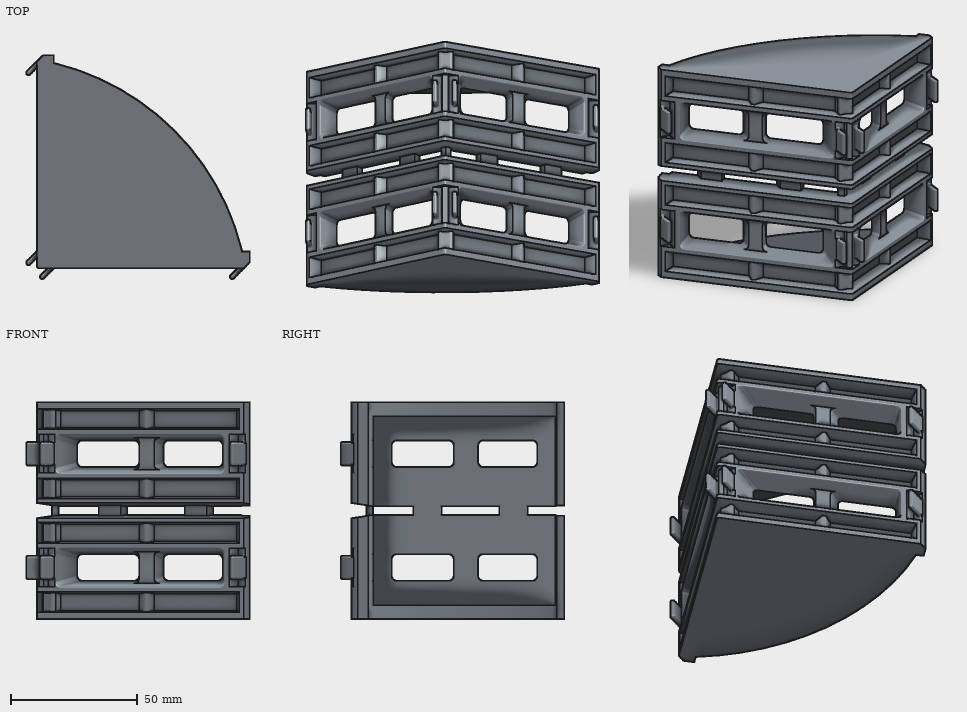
import cadquery as cq
import math


side = 84.5
height = 86.0
corner_round = 1.0
ear_width = 6.75
ear_chamfer = 2.5
arc_end = 81.4
arc_middle = 54.6
plate_thickness = 5.5
beyond = 2 * side

deck_center = 22.55

pocket_offset = 13.8
pocket_half = 4.1
pocket_end = 80.35
pocket_depth = 5.4
pocket_draft = 0.7
pocket_end_draft = 1.1
rib_base_start = 40.6
rib_base_end = 46.6
rib_nose_start = 42.8
rib_nose_end = 44.2
rib_nose_y = 2.1
rib_round = 0.35

window_start = 7.5
window_end = 74.1
window_end_back = 73.7
wall_back = 8.6
post_front = 4.8
post_start = 40.6
post_end = 46.5
post_margin = 8.9
mouth_half = 7.6
opening_half = 5.2
window_round = 1.95
mouth_round = 0.5

recess_half = 7.6
corner_recess_back = 7.2
bar_half_spread = 1.8
bar_front = 3.7
end_recess_start = 76.35
end_recess_back = 83.45

tab_reach = 4.3
tab_half_height = 4.7
tab_half_spread = 1.3
tab_round = 0.9
tab_root = 0.4
tab_blend = 0.7
tab_wall_margin = 2.7
corner_tab_line = 5.5
end_tab_line = 80.8

column_nose = (5.2, 3.0)
column_bulge = (6.3, 2.5)
column_shoulder = (7.5, 3.3)
column_foot = 8.0

gap_edge_half = 3.0
gap_half = 1.7
gap_post_front = 5.95
gap_post_starts = (24.5, 58.6)
gap_post_width = 8.8


def mirrored(shape):
    """Reflection in the diagonal plane X = Y."""
    return shape.mirror(cq.Vector(1, -1, 0), (0, 0, 0))


def both_sides(shape):
    return shape.union(mirrored(shape))


def prism(points, half_height):
    return cq.Workplane("XY").polyline(points).close().extrude(half_height, both=True)


def diagonal_point(total, difference):
    """Point with X + Y = total and X - Y = difference."""
    return ((total + difference) / 2, (total - difference) / 2)


def diagonal_box(total_low, total_high, difference_low, difference_high, half_height):
    """Block whose sides run along and across the diagonal."""
    corners = [
        diagonal_point(total_low, difference_low),
        diagonal_point(total_low, difference_high),
        diagonal_point(total_high, difference_high),
        diagonal_point(total_high, difference_low),
    ]
    return prism(corners, half_height)


def side_loft(near, far, corner_radius=0):
    """Loft along Y between two upright rectangles given as (y, x start, x end, half height)."""
    sections = []
    for y, start, end, half in (near, far):
        section = cq.Sketch().rect(end - start, 2 * half)
        if corner_radius:
            section = section.vertices().fillet(corner_radius)
        sections.append(section.moved(cq.Location(cq.Vector((start + end) / 2, 0, -y))))
    return cq.Workplane("XZ").placeSketch(*sections).loft()


def window_half(y):
    """Half height of the window at depth y."""
    return mouth_half + (opening_half - mouth_half) * y / wall_back


def blank():
    chamfer_start = side - ear_chamfer
    return (
        cq.Workplane("XY")
        .workplane(offset=-height / 2)
        .lineTo(chamfer_start, 0)
        .lineTo(side, ear_chamfer)
        .lineTo(side, ear_width)
        .lineTo(arc_end, ear_width)
        .threePointArc((arc_middle, arc_middle), (ear_width, arc_end))
        .lineTo(ear_width, side)
        .lineTo(ear_chamfer, side)
        .lineTo(0, chamfer_start)
        .close()
        .extrude(height)
        .edges("|Z and (<X and <Y)")
        .fillet(corner_round)
    )


def window():
    """Window through the wall, with its middle post left standing behind the mouth."""
    opening = side_loft(
        (0, window_start, window_end, mouth_half),
        (wall_back, window_start + wall_back, window_end_back, opening_half),
        window_round,
    )
    return opening.cut(window_post())


def window_post():
    """Post with one square side, one 45 degree side and flared, rounded ends."""
    def pane(start, end):
        return side_loft(
            (post_front, start, end, window_half(post_front)),
            (wall_back, start + wall_back - post_front, end, opening_half),
            window_round,
        )

    low = post_start - post_margin
    high = post_end + post_margin
    post_block = prism(
        [(low, post_front), (high, post_front), (high, wall_back), (low, wall_back)],
        mouth_half,
    )
    near_pane = pane(window_start + post_front, post_start)
    far_pane = pane(post_end, window_end_back)
    return post_block.cut(near_pane).cut(far_pane)


def interior():
    """Open room between the walls, floor and roof, reaching out through the curved side."""
    points = [(wall_back, wall_back), (beyond, wall_back), (beyond, beyond), (wall_back, beyond)]
    return prism(points, height / 2 - plate_thickness)


def corner_recess():
    reach = 2 * corner_recess_back
    notch = diagonal_box(-corner_recess_back, corner_recess_back, -reach, reach, recess_half)
    bar = diagonal_box(bar_front, corner_recess_back, -bar_half_spread, bar_half_spread, recess_half)
    return notch.cut(bar)


def end_recess():
    return diagonal_box(end_recess_start - ear_width, end_recess_back, end_recess_start, side, recess_half)


def pocket():
    """Pocket along both sides, with its ribs and corner column left standing."""
    cavity = side_loft(
        (0, 0, pocket_end, pocket_half),
        (pocket_depth, 0, pocket_end - pocket_end_draft, pocket_half - pocket_draft),
    )
    rib = prism(
        [
            (rib_base_start, pocket_depth), (rib_nose_start, rib_nose_y),
            (rib_nose_end, rib_nose_y), (rib_base_end, pocket_depth),
        ],
        pocket_half,
    ).edges("|Z and <Y").fillet(rib_round)
    return both_sides(cavity.cut(rib)).cut(corner_column())


def corner_column():
    def swap(point):
        return (point[1], point[0])

    spread = column_shoulder[0] - column_shoulder[1]
    foot = (column_foot + spread, column_foot)
    return (
        cq.Workplane("XY")
        .moveTo(*swap(column_nose))
        .lineTo(*column_nose)
        .threePointArc(column_bulge, column_shoulder)
        .lineTo(*foot)
        .lineTo(*swap(foot))
        .lineTo(*swap(column_shoulder))
        .threePointArc(swap(column_bulge), swap(column_nose))
        .close()
        .extrude(pocket_half, both=True)
    )


def tab(line, recess_back, recess):
    """Rounded tab along the diagonal direction, blended into the back wall of its recess."""
    low = line - tab_half_spread
    high = line + tab_half_spread
    tip_corner = -tab_reach - tab_round * (math.sqrt(2) - 1)
    tip = 2 * tip_corner + high
    bar = diagonal_box(tip, recess_back + tab_root, low, high, tab_half_height)
    bar = bar.edges("not >(1, 1, 0)").fillet(tab_round)

    wall = diagonal_box(
        recess_back, recess_back + tab_root, low - tab_wall_margin, high + tab_wall_margin, recess_half,
    )
    blended = wall.union(bar)
    wall_face = blended.faces("|(1, 1, 0)").faces(">(1, 1, 0)[-2]").val()
    blended = blended.newObject(wall_face.innerWires()[0].Edges()).fillet(tab_blend)
    return bar.union(blended.intersect(recess).intersect(blank()))


def gap():
    """Space between the decks, narrowing inward from both sides."""
    wedge = (
        cq.Workplane("YZ")
        .polyline([
            (0, -gap_edge_half), (wall_back, -gap_half),
            (wall_back, gap_half), (0, gap_edge_half),
        ])
        .close()
        .extrude(side)
    )
    middle = prism([(0, 0), (beyond, 0), (beyond, beyond), (0, beyond)], gap_half)
    return both_sides(wedge).union(middle)


def gap_posts():
    front = gap_post_front
    back = wall_back
    posts = prism([(front, front), (back, front), (back, back), (front, back)], gap_edge_half)
    for start in gap_post_starts:
        stop = start + gap_post_width
        post = prism(
            [(start, front), (stop, front), (stop + back - front, back), (start, back)],
            gap_edge_half,
        )
        posts = posts.union(both_sides(post))
    return posts


deck_levels = (-deck_center, deck_center)

body = blank()
for level in deck_levels:
    body = body.cut(both_sides(window()).translate((0, 0, level)))

mouth_edges = []
for selector in ("<X", "<Y"):
    for wire in body.faces(selector).val().innerWires():
        mouth_edges.extend(wire.Edges())
body = body.newObject(mouth_edges).fillet(mouth_round)

deck_cuts = both_sides(end_recess()).union(corner_recess())
for offset in (-pocket_offset, pocket_offset):
    deck_cuts = deck_cuts.union(pocket().translate((0, 0, offset)))
tabs = both_sides(
    tab(corner_tab_line, corner_recess_back, corner_recess())
    .union(tab(end_tab_line, end_recess_back, end_recess()))
)

for level in deck_levels:
    body = body.cut(deck_cuts.translate((0, 0, level)))
    body = body.union(tabs.translate((0, 0, level)))

result = body.cut(interior()).cut(gap()).union(gap_posts())